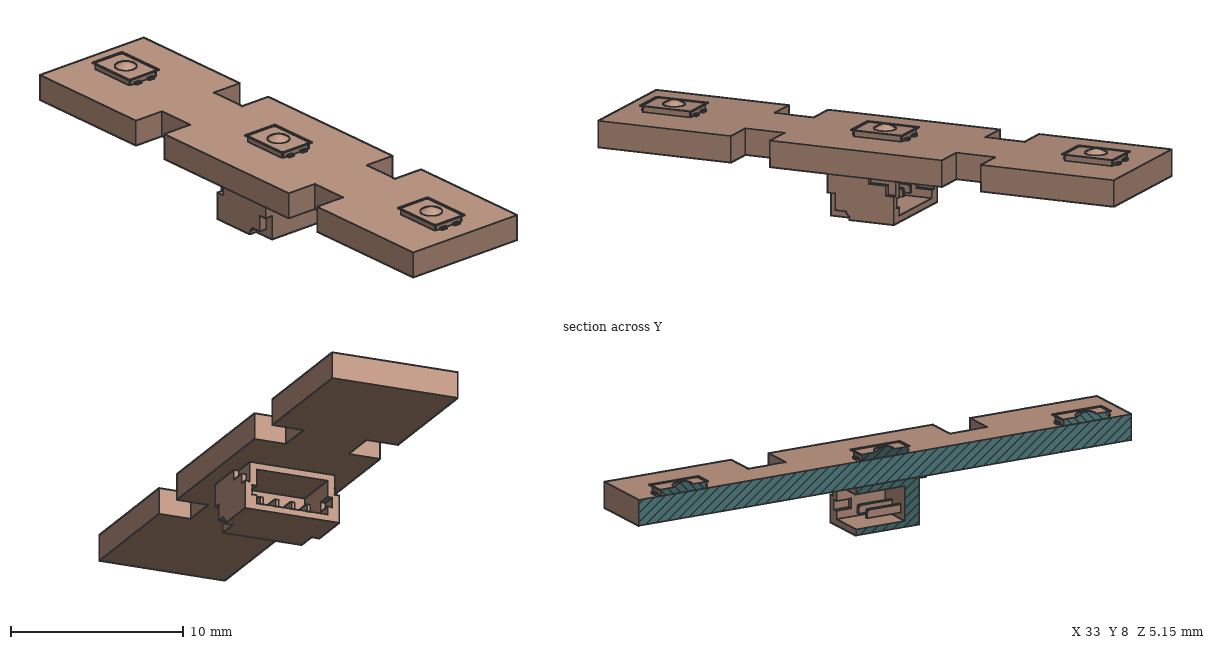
import cadquery as cq


BOARD_LENGTH = 33.0
BOARD_WIDTH = 8.0
BOARD_THICKNESS = 1.6
NECK_LENGTH = 2.5
NECK_WIDTH = 4.0
LED_PITCH = 13.5

LED_BASE_LENGTH = 3.1
LED_BASE_WIDTH = 2.1
LED_BASE_END_INSET = 0.1
LED_BASE_END_LENGTH = 0.05
LED_PLATE_LENGTH = 3.3
LED_PLATE_WIDTH = 2.3
LED_PLATE_THICKNESS = 0.03
LED_PLATE_TOP = 0.4
LED_HEIGHT = 0.65
LENS_COLLAR_RADIUS = 0.65
LENS_COLLAR_HEIGHT = 0.12
LENS_DOME_RADIUS = 0.45
LENS_COLLAR_BULGE = 0.02
LED_PAD_SPAN = 3.5
LED_PAD_WIDTH = 0.4
LED_PAD_THICKNESS = 0.1
LED_PAD_PITCH = 1.0

HOUSING_FRONT = -1.95
HOUSING_LENGTH = 4.25
HOUSING_WIDTH = 6.0
HOUSING_HEIGHT = 2.9
HOUSING_BACK = HOUSING_FRONT + HOUSING_LENGTH
HOUSING_BOTTOM = -HOUSING_HEIGHT

FRONT_RELIEF_DEPTH = 0.3
FRONT_RELIEF_LENGTHS = (1.6, 0.5)
FRONT_RELIEF_HEIGHTS = (0.6, 1.2)
BACK_RELIEF_DEPTH = 0.5
BACK_RELIEF_LENGTHS = (0.5, 1.15, 1.4)
BACK_RELIEF_HEIGHTS = (1.5, 0.5)
BACK_RELIEF_SLOPE_START = 0.2

SOCKET_WIDTH = 4.5
SOCKET_HEIGHT = 2.1
SOCKET_DEPTH = 3.25
SOCKET_FLOOR = HOUSING_BOTTOM + 0.4
KEY_SLOT_DEPTH = 0.3
KEY_SLOT_LENGTH = 1.0
KEY_SLOT_HEIGHT = 0.6
KEY_SLOT_BOTTOM = HOUSING_BOTTOM + 0.9

CONTACT_COUNT = 4
CONTACT_PITCH = 1.0
CONTACT_WIDTH = 0.2
CONTACT_HEIGHT = 0.5
CONTACT_BOTTOM = HOUSING_BOTTOM + 0.8
CONTACT_SETBACK = 1.0
CONTACT_TIP_RADIUS = 0.175
TAIL_LENGTH = 0.7
TAIL_THICKNESS = 0.2


def box(x_range, y_range, z_range):
    """Axis-aligned box given by its lower and upper limit along each axis."""
    lower, upper = zip(x_range, y_range, z_range)
    size = [high - low for low, high in zip(lower, upper)]
    return cq.Workplane("XY").box(*size, centered=False).translate(lower)


def centred_range(width, centre=0.0):
    return (centre - width / 2, centre + width / 2)


def make_board():
    """Three panels joined by two narrow necks."""
    board = cq.Workplane("XY").box(BOARD_LENGTH, BOARD_WIDTH, BOARD_THICKNESS, centered=(True, True, False))
    notch_depth = (BOARD_WIDTH - NECK_WIDTH) / 2
    notch_centre_y = (BOARD_WIDTH - notch_depth) / 2
    notch_centres = [
        (side_x * LED_PITCH / 2, side_y * notch_centre_y) for side_x in (-1, 1) for side_y in (-1, 1)
    ]
    notch_outlines = cq.Workplane("XY").pushPoints(notch_centres).rect(NECK_LENGTH, notch_depth)
    return board.cut(notch_outlines.extrude(BOARD_THICKNESS))


def make_lens():
    """Rounded collar with a shallow dome on top, standing on the LED plate."""
    dome_base = LED_PLATE_TOP + LENS_COLLAR_HEIGHT
    dome_rise = LED_HEIGHT - dome_base
    sphere_radius = (LENS_DOME_RADIUS**2 + dome_rise**2) / (2 * dome_rise)
    mid_radius = LENS_DOME_RADIUS / 2
    mid_height = LED_HEIGHT - sphere_radius + (sphere_radius**2 - mid_radius**2) ** 0.5
    return (
        cq.Workplane("XZ")
        .moveTo(0, LED_PLATE_TOP)
        .lineTo(LENS_COLLAR_RADIUS, LED_PLATE_TOP)
        .sagittaArc((LENS_DOME_RADIUS, dome_base), -LENS_COLLAR_BULGE)
        .threePointArc((mid_radius, mid_height), (0, LED_HEIGHT))
        .close()
        .revolve(360, (0, 0), (0, 1))
    )


def make_led(centre_x):
    """LED standing on the board: base with narrowed ends, overhanging plate, lens and four pad ends."""
    plate_bottom = LED_PLATE_TOP - LED_PLATE_THICKNESS
    base_height = (0, plate_bottom)
    core_length = LED_BASE_LENGTH - 2 * LED_BASE_END_LENGTH
    end_width = LED_BASE_WIDTH - 2 * LED_BASE_END_INSET
    base_core = box(centred_range(core_length), centred_range(LED_BASE_WIDTH), base_height)
    base_ends = box(centred_range(LED_BASE_LENGTH), centred_range(end_width), base_height)
    plate = box(
        centred_range(LED_PLATE_LENGTH), centred_range(LED_PLATE_WIDTH), (plate_bottom, LED_PLATE_TOP)
    )
    led = base_core.union(base_ends).union(plate).union(make_lens())
    for side in (-1, 1):
        pad_y = centred_range(LED_PAD_WIDTH, side * LED_PAD_PITCH / 2)
        led = led.union(box(centred_range(LED_PAD_SPAN), pad_y, (0, LED_PAD_THICKNESS)))
    return led.translate((centre_x, 0, BOARD_THICKNESS))


def side_reliefs(outline, depth):
    """Prisms of an XZ outline, cut into both sides of the housing."""
    prism = cq.Workplane("XZ").polyline(outline).close().extrude(depth)
    near_side = prism.translate((0, depth - HOUSING_WIDTH / 2, 0))
    far_side = prism.translate((0, HOUSING_WIDTH / 2, 0))
    return near_side.union(far_side)


def front_relief_outline():
    long_step, short_step = [HOUSING_FRONT + length for length in FRONT_RELIEF_LENGTHS]
    upper_step, lower_step = [-height for height in FRONT_RELIEF_HEIGHTS]
    return [
        (HOUSING_FRONT, 0),
        (long_step, 0),
        (long_step, upper_step),
        (short_step, upper_step),
        (short_step, lower_step),
        (HOUSING_FRONT, lower_step),
    ]


def back_relief_outline():
    short_step, long_step, slope_end = [HOUSING_BACK - length for length in BACK_RELIEF_LENGTHS]
    upper_step, lower_step = [HOUSING_BOTTOM + height for height in BACK_RELIEF_HEIGHTS]
    slope_foot = HOUSING_BOTTOM + BACK_RELIEF_SLOPE_START
    return [
        (HOUSING_BACK, upper_step),
        (short_step, upper_step),
        (short_step, lower_step),
        (long_step, lower_step),
        (slope_end, slope_foot),
        (slope_end, HOUSING_BOTTOM),
        (HOUSING_BACK, HOUSING_BOTTOM),
    ]


def make_socket():
    """Socket opening with a key slot on each side."""
    opening = box(
        (HOUSING_FRONT, HOUSING_FRONT + SOCKET_DEPTH),
        centred_range(SOCKET_WIDTH),
        (SOCKET_FLOOR, SOCKET_FLOOR + SOCKET_HEIGHT),
    )
    key_slots = box(
        (HOUSING_FRONT, HOUSING_FRONT + KEY_SLOT_LENGTH),
        centred_range(SOCKET_WIDTH + 2 * KEY_SLOT_DEPTH),
        (KEY_SLOT_BOTTOM, KEY_SLOT_BOTTOM + KEY_SLOT_HEIGHT),
    )
    return opening.union(key_slots)


def make_contact(centre_y):
    """Contact blade with a rounded tip inside the socket and a solder tail behind the housing."""
    y_range = centred_range(CONTACT_WIDTH, centre_y)
    socket_back = HOUSING_FRONT + SOCKET_DEPTH
    blade = box(
        (HOUSING_FRONT + CONTACT_SETBACK, socket_back),
        y_range,
        (CONTACT_BOTTOM, CONTACT_BOTTOM + CONTACT_HEIGHT),
    )
    blade = blade.edges("|Y and <X and >Z").fillet(CONTACT_TIP_RADIUS)
    tail = box((HOUSING_BACK, HOUSING_BACK + TAIL_LENGTH), y_range, (-TAIL_THICKNESS, 0))
    return blade, tail


def make_connector():
    connector = box((HOUSING_FRONT, HOUSING_BACK), centred_range(HOUSING_WIDTH), (HOUSING_BOTTOM, 0))
    connector = connector.cut(side_reliefs(front_relief_outline(), FRONT_RELIEF_DEPTH))
    connector = connector.cut(side_reliefs(back_relief_outline(), BACK_RELIEF_DEPTH))
    connector = connector.cut(make_socket())
    for index in range(CONTACT_COUNT):
        centre_y = (index - (CONTACT_COUNT - 1) / 2) * CONTACT_PITCH
        blade, tail = make_contact(centre_y)
        connector = connector.union(blade).union(tail)
    return connector


board = make_board()
leds = [make_led(index * LED_PITCH) for index in (-1, 0, 1)]
connector = make_connector()

result = cq.Compound.makeCompound([board.val(), *[led.val() for led in leds], connector.val()])